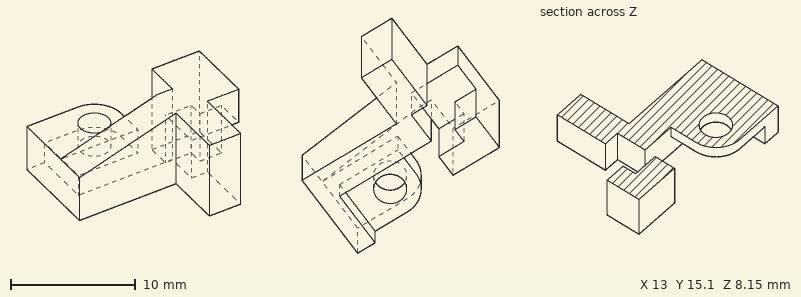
import cadquery as cq

LENGTH_X = 13.02
DEPTH_Y = 15.1
TOP_Z = 8.15

BODY_BOTTOM_Z = 1.0
EAR_BOTTOM_Z = 3.0
ROOF_BOTTOM_Z = 4.8
EAR_TOP_Z = 5.35

WEB_LEFT_X = 5.1
WEB_RIGHT_X = 7.98
SLOPE_END_Y = 9.15

HEAD_LEFT_X = 2.0
HEAD_FRONT_Y = 10.6
POST_WIDTH = 2.05
POST_RETURN_X = 5.35
POST_RETURN_THICKNESS = POST_WIDTH

ARM_FRONT_Y = SLOPE_END_Y
ARM_THICKNESS = 2.97

EAR_RADIUS = 2.5
HOLE_DIAMETER = 2.65
HOLE_X = EAR_RADIUS
HOLE_Y = 4.84
EAR_BACK_Y = HOLE_Y + EAR_RADIUS
EAR_LEG_DEPTH = 1.7


def box_between(x_range, y_range, z_range):
    """Box spanning the given (low, high) range along each axis."""
    lows, highs = zip(x_range, y_range, z_range)
    sizes = [high - low for low, high in zip(lows, highs)]
    return cq.Workplane("XY").box(*sizes, centered=False).translate(lows)


def make_web():
    """Upright web whose top slopes from the ear level up to the head."""
    profile = [
        (0, BODY_BOTTOM_Z),
        (HEAD_FRONT_Y, BODY_BOTTOM_Z),
        (HEAD_FRONT_Y, TOP_Z),
        (SLOPE_END_Y, TOP_Z),
        (0, EAR_TOP_Z),
    ]
    web = cq.Workplane("YZ").polyline(profile).close().extrude(WEB_RIGHT_X - WEB_LEFT_X)
    return web.translate((WEB_LEFT_X, 0, 0))


def make_arm():
    """Arm reaching sideways from the high end of the web."""
    return box_between(
        (WEB_RIGHT_X, LENGTH_X),
        (ARM_FRONT_Y, ARM_FRONT_Y + ARM_THICKNESS),
        (BODY_BOTTOM_Z, TOP_Z),
    )


def make_head():
    """Roof behind the web, carried on an L-shaped post that reaches lowest."""
    roof = box_between(
        (HEAD_LEFT_X, WEB_RIGHT_X), (HEAD_FRONT_Y, DEPTH_Y), (ROOF_BOTTOM_Z, TOP_Z)
    )
    post = box_between(
        (HEAD_LEFT_X, HEAD_LEFT_X + POST_WIDTH), (HEAD_FRONT_Y, DEPTH_Y), (0, ROOF_BOTTOM_Z)
    )
    post_return = box_between(
        (HEAD_LEFT_X, POST_RETURN_X),
        (DEPTH_Y - POST_RETURN_THICKNESS, DEPTH_Y),
        (0, ROOF_BOTTOM_Z),
    )
    return roof.union(post).union(post_return)


def make_ear():
    """Drilled ear with one rounded corner and a leg along its front edge."""
    plate = box_between((0, WEB_LEFT_X), (0, EAR_BACK_Y), (EAR_BOTTOM_Z, EAR_TOP_Z))
    plate = plate.edges("|Z and <X and >Y").fillet(EAR_RADIUS)
    leg = box_between((0, WEB_LEFT_X), (0, EAR_LEG_DEPTH), (BODY_BOTTOM_Z, EAR_BOTTOM_Z))
    hole = (
        cq.Workplane("XY", origin=(HOLE_X, HOLE_Y, EAR_BOTTOM_Z))
        .circle(HOLE_DIAMETER / 2)
        .extrude(EAR_TOP_Z - EAR_BOTTOM_Z)
    )
    return plate.cut(hole).union(leg)


result = make_web().union(make_arm()).union(make_head()).union(make_ear()).clean()